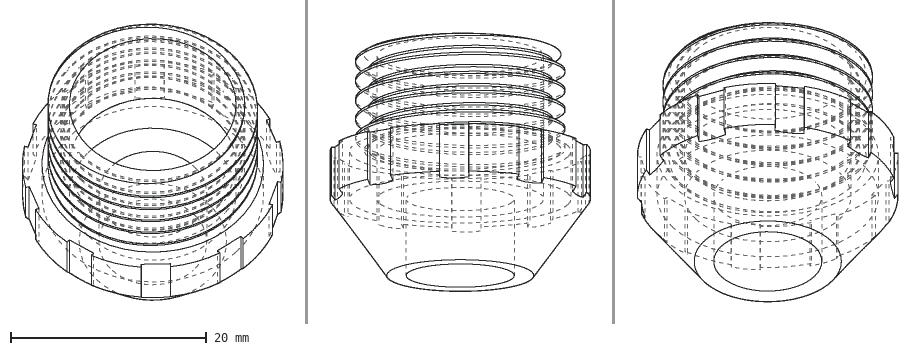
import cadquery as cq
import math

cone_height = 8.0
collar_height = 5.0
thread_length = 10.0
collar_top = cone_height + collar_height
part_top = collar_top + thread_length

collar_radius = 13.31
cap_wall = 2.0
outlet_radius = 11.04 / 2
cone_end_radius = outlet_radius + cap_wall
notch_count = 10
notch_width = 3.0
notch_floor_radius = 12.85
first_notch_angle = 90.0

plug_radius = collar_radius - cap_wall
plug_bore_radius = 17.02 / 2
neck_bore_radius = 17.0 / 2

pitch = 2.0
crest_radius = 10.71
crest_flat = pitch / 8
root_flat = pitch / 8
flank_rise = (pitch - crest_flat - root_flat) / 2
flank_slope = math.tan(math.radians(30))
thread_depth = flank_rise / flank_slope
root_radius = crest_radius - thread_depth
ridge_embed = 0.1
first_crest = collar_top + 0.75
thread_start = first_crest - pitch
thread_turns = math.ceil((part_top - thread_start) / pitch) + 1


def make_cap():
    """Cone and collar, with a flat-bottomed recess for the plug and an outlet hole."""
    profile = [
        (outlet_radius, 0),
        (cone_end_radius, 0),
        (collar_radius, cone_height),
        (collar_radius, collar_top),
        (plug_radius, collar_top),
        (plug_radius, cone_height),
        (outlet_radius, cone_height),
    ]
    cap = cq.Workplane("XZ").polyline(profile).close().revolve(360, (0, 0, 0), (0, 1, 0))
    for index in range(notch_count):
        cap = cap.cut(make_notch(first_notch_angle + index * 360 / notch_count))
    return cap


def make_notch(angle):
    """Flat-floored cutter along the full height; it runs out on the cone."""
    cutter = cq.Workplane("XY").box(cap_wall, notch_width, collar_top, centered=(False, True, False))
    return cutter.translate((notch_floor_radius, 0, 0)).rotate((0, 0, 0), (0, 0, 1), angle)


def make_ring(outer_radius, inner_radius, bottom, top):
    ring = cq.Workplane("XY").workplane(offset=bottom).circle(outer_radius).circle(inner_radius)
    return ring.extrude(top - bottom)


def make_thread_ridge():
    """Right-handed helical ridge that runs past both ends of the neck."""
    path = cq.Wire.makeHelix(pitch, thread_turns * pitch, root_radius).moved(
        cq.Location(cq.Vector(0, 0, thread_start))
    )
    base_radius = root_radius - ridge_embed
    half_crest = crest_flat / 2
    half_base = half_crest + (crest_radius - base_radius) * flank_slope
    section = [
        (base_radius, thread_start - half_base),
        (crest_radius, thread_start - half_crest),
        (crest_radius, thread_start + half_crest),
        (base_radius, thread_start + half_base),
    ]
    return cq.Workplane("XZ").polyline(section).close().sweep(cq.Workplane(path), isFrenet=True)


def make_neck():
    """Threaded tube: a core and ridge longer than needed, fused and then trimmed flat."""
    ridge_end = thread_start + thread_turns * pitch
    core = cq.Workplane("XY").workplane(offset=thread_start - pitch).circle(root_radius)
    core = core.extrude(ridge_end - thread_start + 2 * pitch)
    trim = make_ring(plug_radius, neck_bore_radius, collar_top, part_top)
    return core.union(make_thread_ridge()).intersect(trim)


def make_insert():
    plug = make_ring(plug_radius, plug_bore_radius, cone_height, collar_top)
    return make_neck().union(plug)


cap = make_cap()
insert = make_insert()

result = cq.Compound.makeCompound([*cap.solids().vals(), *insert.solids().vals()])